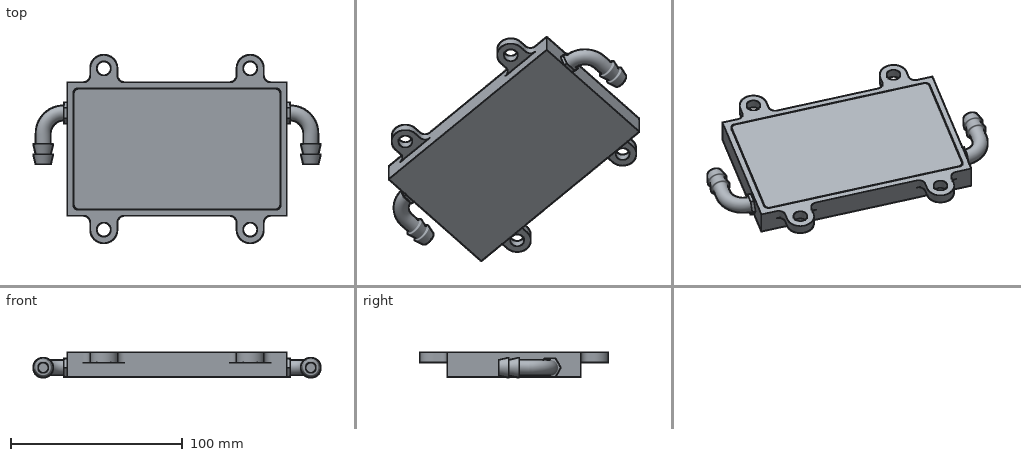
import cadquery as cq
import math

length = 128.0
width = 78.0
height = 14.5

ear_thickness = 6.0
ear_radius = 8.0
ear_hole_diameter = 8.0
ear_hole_span_y = 94.0
ear_spacing_x = length * 2 / 3
ear_root_fillet = 4.0

lid_border = 3.5
lid_thickness = 3.0
lid_gap = 0.4
pocket_corner_radius = 3.0

fitting_y = 21.0
fitting_z = -9.0
hex_across_flats = 11.0
hex_thickness = 2.0
tube_diameter = 9.0
bore_diameter = 6.0
bend_radius = 12.0
plain_length = 6.0
barb_length = 6.0
barb_diameter = 12.0
barb_count = 2
edge_round = 0.4

tolerance = 0.01

sides = (-1, 1)
fitting_x = length / 2 + hex_thickness + bend_radius
straight_start_y = fitting_y - bend_radius
barb_start_y = straight_start_y - plain_length
tip_y = barb_start_y - barb_count * barb_length


def make_ear(x, side):
    """Round-ended ear with concave fillets where it leaves the housing wall."""
    wall = width / 2
    hole_y = ear_hole_span_y / 2
    root = wall + ear_root_fillet
    foot = ear_radius + ear_root_fillet
    fillet_mid = foot - ear_root_fillet * math.sqrt(0.5)
    fillet_mid_y = root - ear_root_fillet * math.sqrt(0.5)
    overlap = lid_border / 2
    hole = cq.Workplane("XY").center(0, hole_y).circle(ear_hole_diameter / 2).extrude(-ear_thickness)
    ear = (
        cq.Workplane("XY")
        .moveTo(-foot, wall)
        .threePointArc((-fillet_mid, fillet_mid_y), (-ear_radius, root))
        .lineTo(-ear_radius, hole_y)
        .threePointArc((0, hole_y + ear_radius), (ear_radius, hole_y))
        .lineTo(ear_radius, root)
        .threePointArc((fillet_mid, fillet_mid_y), (foot, wall))
        .lineTo(foot, wall - overlap)
        .lineTo(-foot, wall - overlap)
        .close()
        .extrude(-ear_thickness)
        .cut(hole)
    )
    if side < 0:
        ear = ear.mirror("XZ")
    return ear.translate((x, 0, 0))


def make_plate(inset, corner_radius):
    """Rounded plate under the top face, inset from the housing outline."""
    return (
        cq.Workplane("XY")
        .rect(length - 2 * inset, width - 2 * inset)
        .extrude(-lid_thickness)
        .edges("|Z")
        .fillet(corner_radius)
    )


def make_housing():
    """Block with four ears and the recess for the lid."""
    body = cq.Workplane("XY").rect(length, width).extrude(-height)
    for x_side in sides:
        for y_side in sides:
            body = body.union(make_ear(x_side * ear_spacing_x / 2, y_side))
    return body.cut(make_plate(lid_border, pocket_corner_radius))


def make_lid():
    """Lid flush with the top face, with a narrow gap all round."""
    return make_plate(lid_border + lid_gap, pocket_corner_radius - lid_gap)


def make_bent_rod(diameter):
    """Rod from the housing wall, out along +X, round the bend and along -Y to the tip."""
    path = (
        cq.Workplane("XY", origin=(0, 0, fitting_z))
        .moveTo(length / 2, fitting_y)
        .lineTo(length / 2 + hex_thickness, fitting_y)
        .radiusArc((fitting_x, straight_start_y), bend_radius)
        .lineTo(fitting_x, tip_y)
    )
    return (
        cq.Workplane("YZ", origin=(length / 2, fitting_y, fitting_z))
        .circle(diameter / 2)
        .sweep(path)
    )


def make_barb(shoulder_y):
    """Cone that widens from the tube diameter back to a flat shoulder."""
    return (
        cq.Workplane("XZ", origin=(fitting_x, shoulder_y, fitting_z))
        .circle(barb_diameter / 2)
        .workplane(offset=barb_length)
        .circle(tube_diameter / 2)
        .loft()
    )


def make_hexagon():
    """Hexagonal collar against the wall, with two corners pointing along Y."""
    corner_radius = hex_across_flats / math.sqrt(3)
    return (
        cq.Workplane("YZ", origin=(length / 2, fitting_y, fitting_z))
        .polygon(6, 2 * corner_radius)
        .extrude(hex_thickness)
    )


def find_rounded_edges(fitting):
    """Tube root at the hexagon, both circles of each barb shoulder, and both circles of the tip."""
    hex_face_x = length / 2 + hex_thickness
    shoulders_y = [barb_start_y - i * barb_length for i in range(barb_count)]
    wanted = [((hex_face_x, fitting_y), tube_diameter)]
    wanted += [((fitting_x, tip_y), diameter) for diameter in (bore_diameter, tube_diameter)]
    for shoulder_y in shoulders_y:
        wanted.append(((fitting_x, shoulder_y), tube_diameter))
        wanted.append(((fitting_x, shoulder_y), barb_diameter))
    edges = []
    for (x, y), diameter in wanted:
        for edge in fitting.edges("%CIRCLE").vals():
            centre = edge.arcCenter()
            distance = math.hypot(centre.x - x, centre.y - y)
            if distance < tolerance and abs(2 * edge.radius() - diameter) < tolerance:
                edges.append(edge)
    return edges


def make_fitting():
    """Hose elbow at the +X end: hexagon, bent tube and barbs in one piece, bored through."""
    fitting = make_hexagon().union(make_bent_rod(tube_diameter))
    for i in range(barb_count):
        fitting = fitting.union(make_barb(barb_start_y - i * barb_length))
    fitting = fitting.cut(make_bent_rod(bore_diameter))
    return fitting.newObject(find_rounded_edges(fitting)).fillet(edge_round)


def make_core():
    """Core that fills the bore, ending flush with the tip."""
    return make_bent_rod(bore_diameter)


def both_ends(body):
    """The +X body and its mirror image at the -X end."""
    return [body.val(), body.mirror("YZ").val()]


housing = make_housing()
lid = make_lid()
result = cq.Compound.makeCompound([
    housing.val(),
    lid.val(),
    *both_ends(make_fitting()),
    *both_ends(make_core()),
])